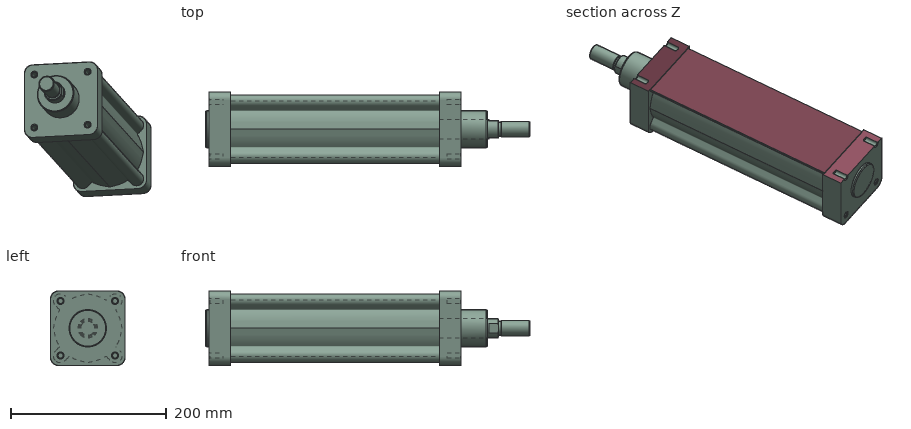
import cadquery as cq
import math


cap_width = 96.0
cap_length = 28.0
cap_corner_radius = 11.0
boss_radius = 24.0
boss_chamfer_length = 1.5
boss_chamfer_depth = 0.9
rear_boss_length = 4.0
front_boss_length = 33.5

hole_offset = 35.0
hole_diameter = 6.5
hole_depth = 18.0
hole_chamfer = 1.2

barrel_length = 268.0
barrel_radius = 43.0
lobe_offset = 35.4
lobe_radius = 8.8
web_width = 2 * lobe_radius
web_fillet = 1.0
ridge_half_width = 9.35

overall_length = 416.0
rod_diameter = 25.0
rod_bevel = 1.0
wrench_width = 22.0
wrench_length = 12.5
thread_diameter = 20.0
thread_length = 40.0
thread_chamfer = 1.0
undercut_diameter = 18.5
undercut_length = 3.0

barrel_start = cap_length
barrel_end = barrel_start + barrel_length
front_face = barrel_end + cap_length
rod_tip = overall_length - rear_boss_length
thread_start = rod_tip - thread_length

x_axis = ((0, 0, 0), (1, 0, 0))


def cylinder_x(radius, start, length):
    """Cylinder on the X axis."""
    return cq.Workplane("YZ", origin=(start, 0, 0)).circle(radius).extrude(length)


def end_cap(boss_length):
    """Cap whose outer face lies at X = 0 with the boss pointing to -X."""
    body = cq.Workplane("YZ").rect(cap_width, cap_width).extrude(cap_length)
    body = body.edges("|X").fillet(cap_corner_radius)
    boss_outline = [
        (0, 0),
        (0, boss_radius),
        (boss_chamfer_length - boss_length, boss_radius),
        (-boss_length, boss_radius - boss_chamfer_depth),
        (-boss_length, 0),
    ]
    boss = cq.Workplane("XY").polyline(boss_outline).close().revolve(360, *x_axis)
    hole_radius = hole_diameter / 2
    hole_outline = [
        (0, 0),
        (0, hole_radius + hole_chamfer),
        (hole_chamfer, hole_radius),
        (hole_depth, hole_radius),
        (hole_depth, 0),
    ]
    hole = cq.Workplane("XY").polyline(hole_outline).close().revolve(360, *x_axis)
    for y in (-hole_offset, hole_offset):
        for z in (-hole_offset, hole_offset):
            body = body.cut(hole.translate((0, y, z)))
    return body.union(boss)


def barrel_body():
    """Round barrel with a low ridge on each side and a webbed round lobe at each corner."""
    body = cylinder_x(barrel_radius, barrel_start, barrel_length)
    section = cq.Workplane("YZ", origin=(barrel_start, 0, 0))

    tangent_height = math.sqrt(barrel_radius**2 - ridge_half_width**2)
    ridge_peak = barrel_radius**2 / tangent_height
    ridge_outline = [
        (0, 0),
        (tangent_height, -ridge_half_width),
        (ridge_peak, 0),
        (tangent_height, ridge_half_width),
    ]
    ridge = section.polyline(ridge_outline).close().extrude(barrel_length)

    lobe_distance = lobe_offset * math.sqrt(2)
    web = section.center(lobe_distance / 2, 0).rect(lobe_distance, web_width).extrude(barrel_length)
    lobe = section.center(lobe_distance, 0).circle(lobe_radius).extrude(barrel_length)
    corner = web.union(lobe)

    for side in range(4):
        side_angle = 90 * side
        body = body.union(ridge.rotate(*x_axis, side_angle))
        body = body.union(corner.rotate(*x_axis, side_angle + 45))

    root_half_angle = math.asin(web_width / 2 / barrel_radius)
    for side in range(4):
        for flank in (-1, 1):
            angle = math.radians(90 * side + 45) + flank * root_half_angle
            root_y = barrel_radius * math.cos(angle)
            root_z = barrel_radius * math.sin(angle)
            root = (barrel_start + barrel_length / 2, root_y, root_z)
            body = body.edges(cq.selectors.NearestToPointSelector(root)).fillet(web_fillet)
    return body


def piston_rod():
    """Rod from the barrel end, with wrench flats, an undercut and a threaded end."""
    shank = cylinder_x(rod_diameter / 2, barrel_end, thread_start - barrel_end)
    shank = shank.faces(">X").chamfer(rod_bevel)
    flat_centre = thread_start - wrench_length / 2
    flat_stock = cq.Workplane("XY").box(wrench_length, rod_diameter, rod_diameter)
    flat_keep = cq.Workplane("XY").box(wrench_length, wrench_width, rod_diameter)
    flats = flat_stock.cut(flat_keep).translate((flat_centre, 0, 0))

    undercut = cylinder_x(undercut_diameter / 2, thread_start, undercut_length)
    thread = cylinder_x(thread_diameter / 2, thread_start + undercut_length, thread_length - undercut_length)
    thread = thread.faces(">X").chamfer(thread_chamfer)
    thread = thread.faces("<X").chamfer((thread_diameter - undercut_diameter) / 2)
    return shank.cut(flats).union(undercut).union(thread)


rear_cap = end_cap(rear_boss_length)

rod_bore = cylinder_x(rod_diameter / 2, barrel_end, cap_length + front_boss_length)
front_cap = end_cap(front_boss_length).mirror("YZ").translate((front_face, 0, 0)).cut(rod_bore)

barrel = barrel_body()
rod = piston_rod()

result = cq.Compound.makeCompound([rear_cap.val(), barrel.val(), front_cap.val(), rod.val()])